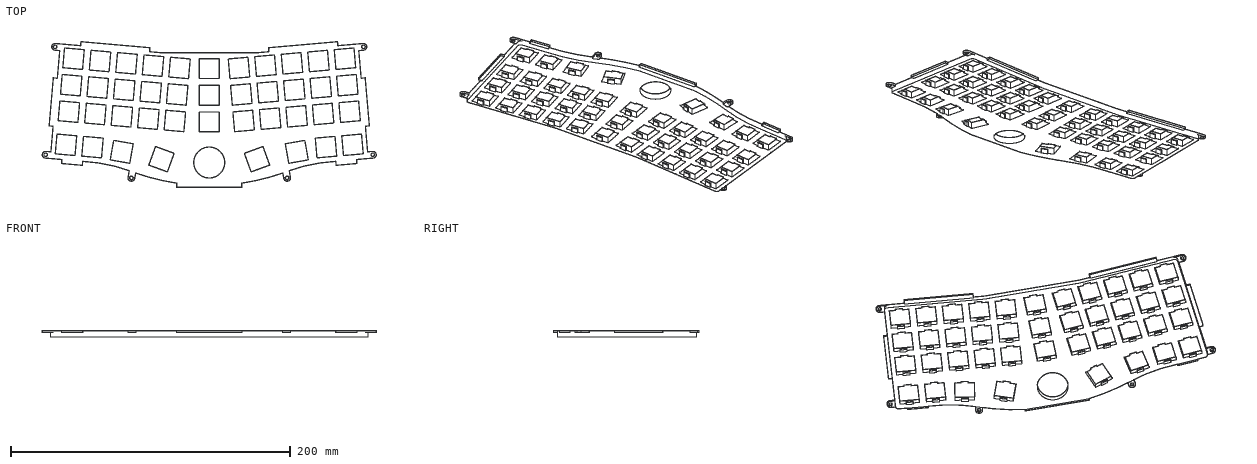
import cadquery as cq
import math

LENGTH = 239.2
TOTAL_THICKNESS = 4.8
PLATE_THICKNESS = 1.5
BODY_THICKNESS = TOTAL_THICKNESS - PLATE_THICKNESS

COLUMNS = 5
ROWS = 3
BLOCK_WIDTH = 95.2
KEY_PITCH = BLOCK_WIDTH / COLUMNS
KEY_GAP = 5.0
KEY_SIZE = KEY_PITCH - KEY_GAP
HALF_TILT = 5.0
HALF_ORIGIN = (21.3, 33.2)
BOTTOM_ROW_STEP = 1.25 * KEY_PITCH
BOTTOM_ROW_DROP = (ROWS - 1) * KEY_PITCH + BOTTOM_ROW_STEP
BOTTOM_ROW_COLUMNS = (3, 4)
CENTRE_COLUMN_TOP = 32.8
INNER_KEY = (62.7, -26.8, 10.0)
THUMB_KEY = (34.2, -32.0, 20.0)

CLIP_WIDTH = 5.0
CLIP_DEPTH = 1.0

BALL_DIAMETER = 22.0
BALL_Y = -34.5

EDGE_TOP = 9.8
EDGE_SIDE = 86.5
EDGE_BOTTOM = -72.7
CORNER_RADIUS = 2.2

CENTRE_TOP_Y = 44.2
CENTRE_BOTTOM_Y = -49.3
CURVE_CROWN = (73.2, -35.9)
CURVE_BEND = (55.7, -41.0)
CURVE_INNER_X = 23.5
CURVE_OUTER = 63.1

TAB_REACH = 2.9
TOP_TAB = (22.2, 72.0)
SIDE_TAB = (-49.5, -14.8)
BOTTOM_TAB = (CURVE_OUTER, 78.2)

LUG_HOLE_DIAMETER = 2.5
LUG_WALL = 1.3
LUG_RADIUS = LUG_HOLE_DIAMETER / 2 + LUG_WALL
CORNER_LUG_LENGTH = 6.2
FRONT_LUG = (55.7, -45.5)
FRONT_LUG_TILT = 10.0
FRONT_LUG_LENGTH = 6.0


def turned(x, y, angle):
    """Rotate a vector counter-clockwise by an angle in degrees."""
    c = math.cos(math.radians(angle))
    s = math.sin(math.radians(angle))
    return (x * c - y * s, x * s + y * c)


def from_half(x, y):
    """Turn a point of the tilted right half into part axes."""
    dx, dy = turned(x, y, HALF_TILT)
    return (HALF_ORIGIN[0] + dx, HALF_ORIGIN[1] + dy)


def place(shape, x, y, angle):
    """Turn a shape about Z, then move it to (x, y)."""
    return shape.rotate((0, 0, 0), (0, 0, 1), angle).translate((x, y, 0))


def with_mirror(shape):
    """Join a right-hand shape with its left-hand mirror image."""
    return shape.union(shape.mirror("YZ"))


def half_box(x_span, y_span):
    """Plate-thick rectangle given by its spans in the tilted frame."""
    width = x_span[1] - x_span[0]
    height = y_span[1] - y_span[0]
    x, y = from_half(sum(x_span) / 2, sum(y_span) / 2)
    box = cq.Workplane("XY", origin=(0, 0, BODY_THICKNESS)).rect(width, height).extrude(PLATE_THICKNESS)
    return place(box, x, y, HALF_TILT)


def right_half():
    """Full-thickness right half, with its two outer corners rounded."""
    run = (CENTRE_TOP_Y - from_half(0, EDGE_TOP)[1]) / math.sin(math.radians(HALF_TILT))
    profile = (
        cq.Workplane("XY")
        .moveTo(0, CENTRE_TOP_Y)
        .lineTo(*from_half(run, EDGE_TOP))
        .lineTo(*from_half(EDGE_SIDE, EDGE_TOP))
        .lineTo(*from_half(EDGE_SIDE, EDGE_BOTTOM))
        .lineTo(*from_half(CURVE_OUTER, EDGE_BOTTOM))
        .threePointArc(CURVE_CROWN, CURVE_BEND)
        .tangentArcPoint((CURVE_INNER_X, CENTRE_BOTTOM_Y), relative=False)
        .lineTo(0, CENTRE_BOTTOM_Y)
        .close()
    )
    half = profile.extrude(TOTAL_THICKNESS)
    for corner_y in (EDGE_TOP, EDGE_BOTTOM):
        corner = (*from_half(EDGE_SIDE, corner_y), TOTAL_THICKNESS / 2)
        half = half.edges(cq.NearestToPointSelector(corner)).fillet(CORNER_RADIUS)
    return half


def right_tabs():
    """Thin tabs on the top, side and bottom edges of the right half."""
    tabs = half_box(TOP_TAB, (EDGE_TOP - TAB_REACH, EDGE_TOP + TAB_REACH))
    tabs = tabs.union(half_box((EDGE_SIDE - TAB_REACH, EDGE_SIDE + TAB_REACH), SIDE_TAB))
    return tabs.union(half_box(BOTTOM_TAB, (EDGE_BOTTOM - TAB_REACH, EDGE_BOTTOM + TAB_REACH)))


def lug(x, y, angle, length):
    """Plate-thick lug with a round end at (x, y), running back along its angle."""
    base = cq.Workplane("XY", origin=(0, 0, BODY_THICKNESS))
    bar = base.center(-length / 2, 0).rect(length, 2 * LUG_RADIUS).extrude(PLATE_THICKNESS)
    return place(bar.union(base.circle(LUG_RADIUS).extrude(PLATE_THICKNESS)), x, y, angle)


def lug_centres():
    """Top corner, bottom corner and front lugs; the bottom corner one sets the overall length."""
    tilt = math.radians(HALF_TILT)
    top = EDGE_TOP - LUG_RADIUS
    bottom = EDGE_BOTTOM + LUG_RADIUS
    reach = LENGTH / 2 - LUG_RADIUS - HALF_ORIGIN[0]
    side = (reach + bottom * math.sin(tilt)) / math.cos(tilt)
    return [from_half(side, top), from_half(side, bottom), FRONT_LUG]


def right_lugs():
    """Solid lugs of the right half, before drilling."""
    top, bottom, front = lug_centres()
    lugs = lug(*top, HALF_TILT, CORNER_LUG_LENGTH).union(lug(*bottom, HALF_TILT, CORNER_LUG_LENGTH))
    return lugs.union(lug(*front, FRONT_LUG_TILT - 90, FRONT_LUG_LENGTH))


def lug_holes():
    """Cutters for the screw holes of all lugs on both sides."""
    points = [(side * x, y) for x, y in lug_centres() for side in (-1, 1)]
    return cq.Workplane("XY").pushPoints(points).circle(LUG_HOLE_DIAMETER / 2).extrude(TOTAL_THICKNESS)


def key_positions():
    """Position and tilt of every key opening."""
    right = []
    for column in range(COLUMNS):
        for row in range(ROWS):
            right.append((*from_half(column * KEY_PITCH, -row * KEY_PITCH), HALF_TILT))
    for column in BOTTOM_ROW_COLUMNS:
        right.append((*from_half(column * KEY_PITCH, -BOTTOM_ROW_DROP), HALF_TILT))
    right += [INNER_KEY, THUMB_KEY]
    left = [(-x, y, -angle) for x, y, angle in right]
    centre = [(0, CENTRE_COLUMN_TOP - row * KEY_PITCH, 0) for row in range(ROWS)]
    return left + centre + right


def key_cutter():
    """Square through opening with a clip undercut in its front and back walls."""
    opening = cq.Workplane("XY").rect(KEY_SIZE, KEY_SIZE).extrude(TOTAL_THICKNESS)
    clips = cq.Workplane("XY").rect(CLIP_WIDTH, KEY_SIZE + 2 * CLIP_DEPTH).extrude(BODY_THICKNESS)
    return opening.union(clips)


centre_tab = (
    cq.Workplane("XY", origin=(0, CENTRE_BOTTOM_Y, BODY_THICKNESS))
    .rect(2 * CURVE_INNER_X, 2 * TAB_REACH)
    .extrude(PLATE_THICKNESS)
)
result = with_mirror(right_half())
result = result.union(with_mirror(right_tabs())).union(centre_tab)
result = result.union(with_mirror(right_lugs())).cut(lug_holes())

cutter = key_cutter()
for key in key_positions():
    result = result.cut(place(cutter, *key))

ball_opening = cq.Workplane("XY").center(0, BALL_Y).circle(BALL_DIAMETER / 2).extrude(TOTAL_THICKNESS)
result = result.cut(ball_opening)